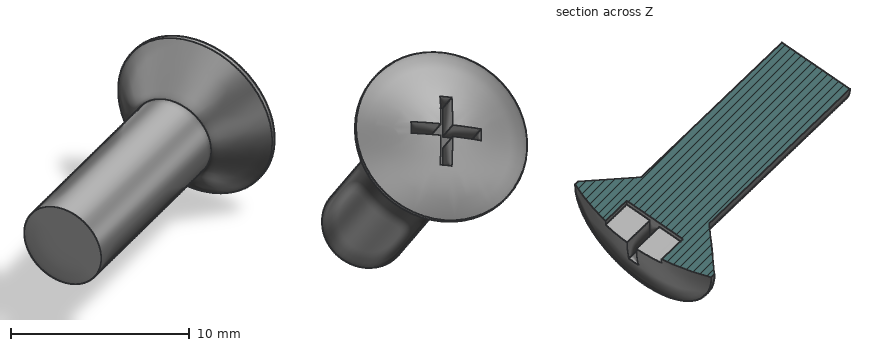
import cadquery as cq
import math

total_length = 15.98
head_radius = 5.0
shank_radius = head_radius / 2
rim_height = 0.29
dome_height = 0.99
cone_height = head_radius - shank_radius

wing_width = 0.69
wing_span = 4.09
recess_depth = 2.0

rim_top = total_length - dome_height
rim_bottom = rim_top - rim_height
shank_top = rim_bottom - cone_height

corner_radius = wing_width / math.sqrt(2)
center_drop = (head_radius**2 - corner_radius**2 - dome_height**2) / (2 * dome_height)
dome_radius = math.hypot(head_radius, center_drop)
dome_center = rim_top - center_drop
dome_apex = dome_center + dome_radius

half_angle = math.asin(head_radius / dome_radius) / 2
dome_middle = (
    dome_radius * math.sin(half_angle),
    dome_center + dome_radius * math.cos(half_angle),
)


def screw_body():
    """Shank, countersink, rim and dome revolved about the Y axis."""
    return (
        cq.Workplane("XY")
        .lineTo(shank_radius, 0)
        .lineTo(shank_radius, shank_top)
        .lineTo(head_radius, rim_bottom)
        .lineTo(head_radius, rim_top)
        .threePointArc(dome_middle, (0, dome_apex))
        .close()
        .revolve(360, (0, 0), (0, 1))
    )


def cross_recess():
    """Two crossed straight-walled slots sunk from the dome apex."""
    recess_middle = dome_apex - recess_depth / 2
    x_slot = cq.Workplane("XY").box(wing_span, recess_depth, wing_width)
    z_slot = cq.Workplane("XY").box(wing_width, recess_depth, wing_span)
    return x_slot.union(z_slot).translate((0, recess_middle, 0))


result = screw_body().cut(cross_recess())